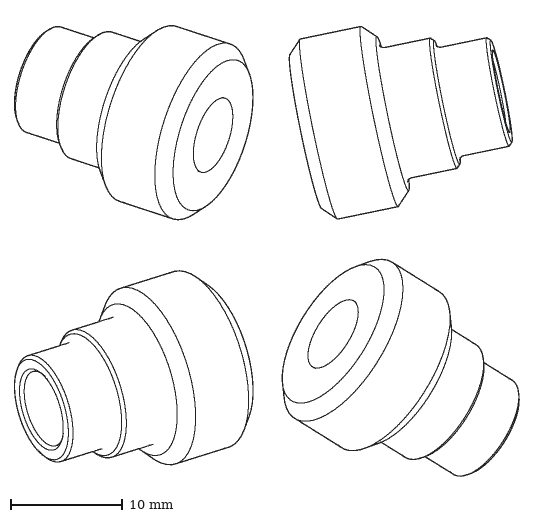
import cadquery as cq

length = 18.0
spigot_radius = 10.0 / 2
collar_radius = 12.0 / 2
head_radius = 16.6 / 2
bore_radius = 7.0 / 2

collar_start = 5.0
head_start = 10.0

small_chamfer = 0.3
head_chamfer = 1.2
shoulder_fillet = 0.5

outer = (
    cq.Workplane("XY")
    .moveTo(0, 0)
    .lineTo(0, spigot_radius - small_chamfer)
    .lineTo(small_chamfer, spigot_radius)
    .lineTo(collar_start - shoulder_fillet, spigot_radius)
    .radiusArc((collar_start, spigot_radius + shoulder_fillet), -shoulder_fillet)
    .lineTo(collar_start, collar_radius - small_chamfer)
    .lineTo(collar_start + small_chamfer, collar_radius)
    .lineTo(head_start - shoulder_fillet, collar_radius)
    .radiusArc((head_start, collar_radius + shoulder_fillet), -shoulder_fillet)
    .lineTo(head_start, head_radius - head_chamfer)
    .lineTo(head_start + head_chamfer, head_radius)
    .lineTo(length - head_chamfer, head_radius)
    .lineTo(length, head_radius - head_chamfer)
    .lineTo(length, 0)
    .close()
    .revolve(360, (0, 0, 0), (1, 0, 0))
)

bore_profile = (
    cq.Workplane("XY")
    .moveTo(0, 0)
    .lineTo(0, bore_radius + small_chamfer)
    .lineTo(small_chamfer, bore_radius)
    .lineTo(length, bore_radius)
    .lineTo(length, 0)
    .close()
)
bore = bore_profile.revolve(360, (0, 0, 0), (1, 0, 0))

result = outer.cut(bore)